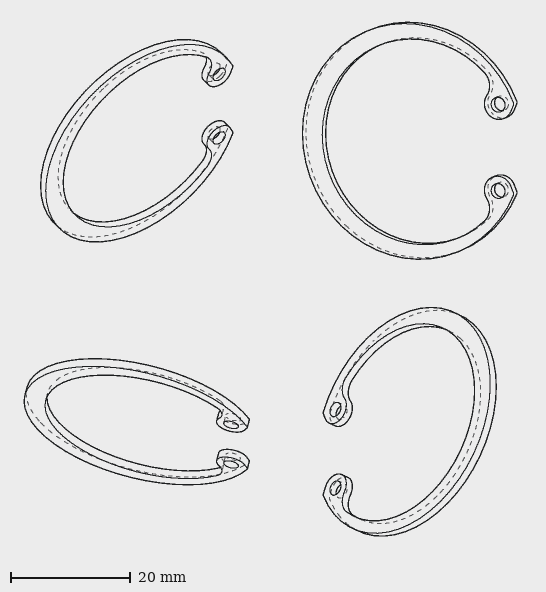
import cadquery as cq
import math

thickness = 1.5
outer_radius = 19.9
inner_radius = 17.35
back_width = 3.6
lug_radius = 2.5
hole_diameter = 2.5
lug_center = (15.52, 7.3)
neck_radius = 3.0
tip_y = 18.38
tip_radius = 0.5

inner_center = (back_width + inner_radius - outer_radius, 0)


def direction(start, end):
    """Angle of the line from start to end."""
    return math.atan2(end[1] - start[1], end[0] - start[0])


def polar(center, radius, angle):
    """Point on a circle at the given angle."""
    return (center[0] + radius * math.cos(angle), center[1] + radius * math.sin(angle))


def mid_angle(start, end):
    return (start + end) / 2


def neck_center():
    """Centre of the arc that touches the inner circle from inside and the lug from outside."""
    to_inner = inner_radius - neck_radius
    to_lug = lug_radius + neck_radius
    span = math.dist(inner_center, lug_center)
    cosine = (to_inner**2 + span**2 - to_lug**2) / (2 * to_inner * span)
    return polar(inner_center, to_inner, direction(inner_center, lug_center) + math.acos(cosine))


def mirrored(point):
    """The matching point on the other side of the gap."""
    return (point[0], -point[1])


def ring():
    """The ring without its holes, from the upper tip around the inside and back along the outer edge."""
    neck = neck_center()
    tip = (tip_y, math.sqrt(outer_radius**2 - tip_y**2))

    tangent_offset = math.acos(lug_radius / math.dist(lug_center, tip))
    lug_start_angle = direction(lug_center, tip) - tangent_offset
    lug_end_angle = direction(lug_center, neck) - 2 * math.pi
    lug_start = polar(lug_center, lug_radius, lug_start_angle)
    lug_mid = polar(lug_center, lug_radius, mid_angle(lug_start_angle, lug_end_angle))
    lug_end = polar(lug_center, lug_radius, lug_end_angle)

    neck_start_angle = direction(neck, lug_center)
    neck_end_angle = direction(inner_center, neck)
    neck_mid = polar(neck, neck_radius, mid_angle(neck_start_angle, neck_end_angle))
    neck_end = polar(neck, neck_radius, neck_end_angle)

    inner_back = (inner_center[0] - inner_radius, 0)
    outer_back = (-outer_radius, 0)

    return (
        cq.Workplane("YZ")
        .moveTo(*tip)
        .lineTo(*lug_start)
        .threePointArc(lug_mid, lug_end)
        .threePointArc(neck_mid, neck_end)
        .threePointArc(inner_back, mirrored(neck_end))
        .threePointArc(mirrored(neck_mid), mirrored(lug_end))
        .threePointArc(mirrored(lug_mid), mirrored(lug_start))
        .lineTo(*mirrored(tip))
        .threePointArc(outer_back, tip)
        .close()
        .extrude(thickness)
        .edges("|X and >Y")
        .fillet(tip_radius)
    )


def lug_holes():
    """Cutters for the plier holes, one through each lug."""
    return (
        cq.Workplane("YZ")
        .pushPoints([lug_center, mirrored(lug_center)])
        .circle(hole_diameter / 2)
        .extrude(thickness)
    )


result = ring().cut(lug_holes())